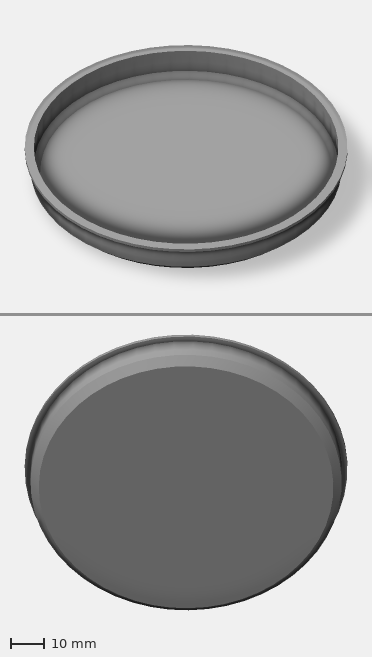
import math

import cadquery as cq

rim_diameter = 97.5
outer_diameter = 94.0
inner_diameter = 92.0
total_height = 10.7
rim_thickness = 1.0

wall = (outer_diameter - inner_diameter) / 2
bevel = 2.5
bevel_angle = 45.0


def dish_section():
    """Half section of the dish, radius along X and height along Z."""
    outer_radius = outer_diameter / 2
    inner_radius = inner_diameter / 2
    rim_radius = rim_diameter / 2
    rim_underside = total_height - rim_thickness
    foot_radius = outer_radius - bevel

    corner_shift = wall * math.tan(math.radians(bevel_angle / 2))
    floor_radius = foot_radius - corner_shift
    inner_bevel_top = bevel + corner_shift

    return (
        cq.Workplane("XZ")
        .moveTo(0, 0)
        .lineTo(foot_radius, 0)
        .lineTo(outer_radius, bevel)
        .lineTo(outer_radius, rim_underside)
        .lineTo(rim_radius, rim_underside)
        .lineTo(rim_radius, total_height)
        .lineTo(inner_radius, total_height)
        .lineTo(inner_radius, inner_bevel_top)
        .lineTo(floor_radius, wall)
        .lineTo(0, wall)
        .close()
    )


result = dish_section().revolve(360, (0, 0, 0), (0, 1, 0))